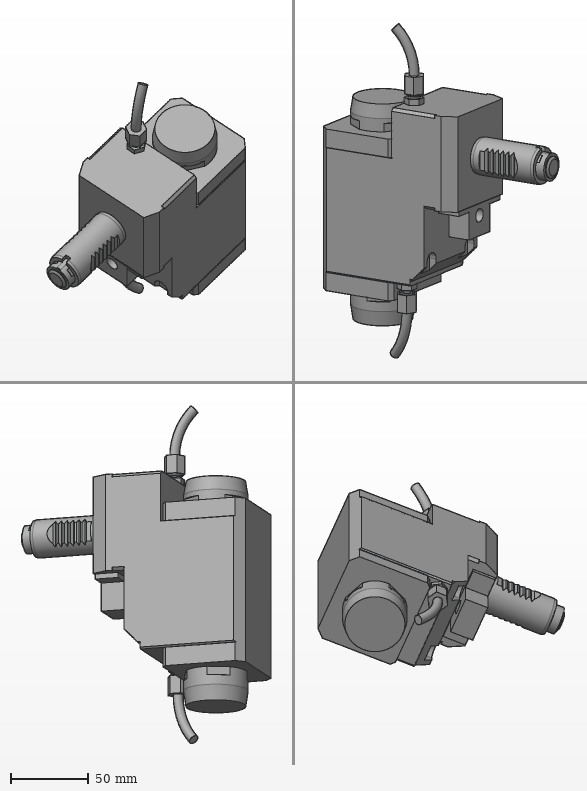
import cadquery as cq
import math


overall_depth = 160.0
overall_height = 223.1

body_width = 64.0
holder_depth = 22.8
plate_back_y = 33.7
step_y = 47.7
back_y = 103.8
top_z = body_width / 2
step_z = -1.5
plate_bottom_z = -82.5
housing_bottom_z = -85.5
holder_corner_x = 5.0
holder_corner_y = 10.0
edge_chamfer = 2.0
edge_chamfer_start_y = 14.7
bottom_chamfer = 1.1
rear_chamfer = 6.0
slope_run = plate_back_y - holder_depth
slope_start_z = plate_bottom_z + slope_run

pocket_diameter = 11.0
pocket_x = 23.0
pocket_axis_z = -68.7
pocket_bottom_z = -76.8
pocket_floor_y = holder_depth + slope_start_z - pocket_bottom_z

foot_front_y = 0.7
foot_back_y = 16.3
foot_width = 25.0
foot_bottom_z = -54.0
foot_flange_width = 2 * foot_width
foot_flange_thickness = 3.3
foot_hole_diameter = 9.0
foot_hole_z = -40.2

cap_width = 62.5
cap_thickness = 12.3
cap_gap = 0.5
cap_front_y = step_y + cap_gap
cap_front_chamfer = 2.7
cap_rear_chamfer = rear_chamfer - (body_width - cap_width) / 2
nut_axis_y = 74.7
nut_diameter = 42.0
nut_end_diameter = 38.8
top_nut_straight = 9.0
top_nut_height = 18.3
bottom_nut_straight = 12.0
bottom_nut_height = 22.0
nut_flat_count = 4
nut_flat_width = 15.0
nut_flat_height = 5.5
top_nut_turn = 55.5
bottom_nut_turn = 66.0

shank_diameter = 25.0
shank_end_diameter = 24.0
shank_length = 48.2
shank_front_chamfer = 2.0
shank_root_chamfer = 2.5
tip_diameter = 18.5
tip_end_y = -54.5
point_base_diameter = 14.7
point_shoulder = 0.7
point_diameter = 11.0
point_y = back_y - overall_depth
tooth_count = 6
tooth_pitch = 4.0
tooth_crest_x = 10.7
tooth_valley_x = 9.1
tooth_half_width = 1.45
teeth_start_y = -6.7
teeth_lead_in = 3.3
first_valley_y = teeth_start_y - teeth_lead_in - tooth_half_width
teeth_end_y = -36.4
key_slot_width = 3.8
key_slot_start_y = -44.0
key_slot_end_y = -53.5
key_slot_floor_z = 9.1
tip_flat_width = 5.5
tip_flat_length = 2.12
tip_flat_angles = (45, 135)

fitting_hex_flats = 11.2
fitting_hex_height = 4.0
neck_diameter = 8.3
collar_diameter = 9.8
neck_top = 5.4
collar_start = 6.0
fitting_nut_start = 7.1
fitting_nut_end = 19.2
fitting_nut_flats = 12.0
tube_diameter = 6.5
tube_bend_angle = 44.0
tube_heading = 109.0
fitting_reach = (overall_height - (top_z - housing_bottom_z)) / 2
top_fitting_x = -13.8
top_fitting_y = 42.0
bottom_fitting_x = -24.3
bottom_fitting_y = 40.8


def box(x_range, y_range, z_range):
    """Box between the given limits."""
    size = [high - low for low, high in (x_range, y_range, z_range)]
    corner = cq.Vector(x_range[0], y_range[0], z_range[0])
    return cq.Workplane(cq.Solid.makeBox(*size, corner))


def centered(width):
    """Limits of a width centred on zero."""
    return -width / 2, width / 2


def make_holder():
    """Square block with angled front corners and its rear side edges chamfered."""
    outline = [
        (body_width / 2 - holder_corner_x, 0),
        (body_width / 2, holder_corner_y),
        (body_width / 2, holder_depth),
        (-body_width / 2, holder_depth),
        (-body_width / 2, holder_corner_y),
        (holder_corner_x - body_width / 2, 0),
    ]
    prism = cq.Workplane("XY").workplane(offset=-body_width / 2).polyline(outline).close().extrude(body_width)
    rear = box(centered(body_width), (edge_chamfer_start_y, holder_depth), centered(body_width))
    front = box(centered(body_width), (0, edge_chamfer_start_y), centered(body_width))
    return prism.intersect(rear.edges("|Y").chamfer(edge_chamfer).union(front))


def make_plate():
    plate = box(centered(body_width), (holder_depth, plate_back_y), (plate_bottom_z, top_z))
    plate = plate.edges("|Y").chamfer(edge_chamfer)
    slope = (
        cq.Workplane("YZ")
        .polyline([
            (holder_depth, slope_start_z),
            (plate_back_y, plate_bottom_z),
            (holder_depth, plate_bottom_z),
        ])
        .close()
        .extrude(body_width / 2, both=True)
    )
    plate = plate.cut(slope)
    for x in (-pocket_x, pocket_x):
        plate = plate.cut(make_pocket(x))
    return plate


def make_pocket(x):
    """Round-topped pocket, open to the front and sunk to a flat floor."""
    depth = pocket_floor_y - holder_depth
    radius = pocket_diameter / 2
    round_top = cq.Solid.makeCylinder(
        radius, depth, cq.Vector(x, holder_depth, pocket_axis_z), cq.Vector(0, 1, 0)
    )
    lower = box(
        (x - radius, x + radius), (holder_depth, pocket_floor_y), (pocket_bottom_z, pocket_axis_z)
    )
    return lower.union(cq.Workplane(round_top))


def make_housing():
    front = box(centered(body_width), (plate_back_y, step_y), (housing_bottom_z, top_z))
    front = front.edges("|Y and >Z").chamfer(edge_chamfer)
    rear = box(centered(body_width), (step_y, back_y), (housing_bottom_z, step_z))
    rear = rear.edges("|Z and >Y").chamfer(rear_chamfer)
    housing = front.union(rear)
    for side in (-1, 1):
        edge_x = side * body_width / 2
        wedge = (
            cq.Workplane("XZ", origin=(0, plate_back_y, 0))
            .polyline([
                (edge_x, housing_bottom_z),
                (edge_x - side * bottom_chamfer, housing_bottom_z),
                (edge_x, housing_bottom_z + bottom_chamfer),
            ])
            .close()
            .extrude(plate_back_y - back_y)
        )
        housing = housing.cut(wedge)
    return housing


def make_foot():
    y_range = (foot_front_y, foot_back_y)
    holder_bottom_z = -body_width / 2
    flange_z = (holder_bottom_z - foot_flange_thickness, holder_bottom_z)
    flange = box(centered(foot_flange_width), y_range, flange_z)
    block = box(centered(foot_width), y_range, (foot_bottom_z, holder_bottom_z))
    hole = cq.Solid.makeCylinder(
        foot_hole_diameter / 2,
        foot_back_y - foot_front_y,
        cq.Vector(0, foot_front_y, foot_hole_z),
        cq.Vector(0, 1, 0),
    )
    return flange.union(block).cut(cq.Workplane(hole))


def make_cap(z_low):
    cap = box(centered(cap_width), (cap_front_y, back_y), (z_low, z_low + cap_thickness))
    cap = cap.edges("|Z and >Y").chamfer(cap_rear_chamfer)
    return cap.edges("|Z and <Y").chamfer(cap_front_chamfer)


def make_nut(straight, height, turn):
    """Tapered clamping nut standing on Z = 0, with wrench flats around its foot."""
    radius = nut_diameter / 2
    nut = (
        cq.Workplane("XZ")
        .polyline([
            (0, 0),
            (radius, 0),
            (radius, straight),
            (nut_end_diameter / 2, height),
            (0, height),
        ])
        .close()
        .revolve(360, (0, 0, 0), (0, 1, 0))
    )
    flat_distance = math.sqrt(radius**2 - (nut_flat_width / 2) ** 2)
    flat = box((flat_distance, nut_diameter), centered(nut_diameter), (0, nut_flat_height))
    for index in range(nut_flat_count):
        angle = turn + index * 360 / nut_flat_count
        nut = nut.cut(flat.rotate((0, 0, 0), (0, 0, 1), angle))
    return nut


def make_tooth_cutter():
    """Toothed recess on the +X side of the shank."""
    outer_x = shank_diameter
    outline = [(outer_x, teeth_start_y), (tooth_crest_x, teeth_start_y)]
    for index in range(tooth_count):
        valley_y = first_valley_y - index * tooth_pitch
        outline.append((tooth_crest_x, valley_y + tooth_half_width))
        outline.append((tooth_valley_x, valley_y))
        outline.append((tooth_crest_x, valley_y - tooth_half_width))
    outline.append((shank_diameter / 2, teeth_end_y))
    outline.append((outer_x, teeth_end_y))
    return cq.Workplane("XY").polyline(outline).close().extrude(shank_diameter, both=True)


def make_shank():
    radius = shank_diameter / 2
    end_radius = shank_end_diameter / 2
    profile = [
        (0, 0),
        (end_radius, 0),
        (radius, -shank_root_chamfer),
        (radius, shank_front_chamfer - shank_length),
        (end_radius, -shank_length),
        (tip_diameter / 2, -shank_length),
        (tip_diameter / 2, tip_end_y),
        (point_base_diameter / 2, tip_end_y),
        (point_base_diameter / 2, tip_end_y - point_shoulder),
        (point_diameter / 2, point_y),
        (0, point_y),
    ]
    shank = cq.Workplane("XY").polyline(profile).close().revolve(360, (0, 0, 0), (0, 1, 0))
    teeth = make_tooth_cutter()
    shank = shank.cut(teeth).cut(teeth.mirror("YZ"))
    key_slot = box(
        centered(key_slot_width), (key_slot_end_y, key_slot_start_y), (key_slot_floor_z, shank_diameter)
    )
    shank = shank.cut(key_slot)
    flat_distance = math.sqrt((tip_diameter / 2) ** 2 - (tip_flat_width / 2) ** 2)
    tip_flat = box(
        (flat_distance, radius), (-shank_length - tip_flat_length, -shank_length), centered(shank_diameter)
    )
    for angle in tip_flat_angles:
        shank = shank.cut(tip_flat.rotate((0, 0, 0), (0, 1, 0), -angle))
    return shank


def hexagon(across_flats, z_low, z_high, turn):
    """Hexagonal prism on the Z axis; a turn of 0 puts corners on the X axis."""
    across_corners = across_flats / math.cos(math.radians(30))
    prism = cq.Workplane("XY").workplane(offset=z_low).polygon(6, across_corners).extrude(z_high - z_low)
    return prism.rotate((0, 0, 0), (0, 0, 1), turn)


def make_tube():
    """Tube leaving the fitting nut in an arc towards the tube heading."""
    bend = math.radians(tube_bend_angle)
    tilted_rim = tube_diameter / 2 * math.sin(bend)
    bend_radius = (fitting_reach - tilted_rim - fitting_nut_end) / math.sin(bend)

    def arc_point(angle):
        return bend_radius * (1 - math.cos(angle)), fitting_nut_end + bend_radius * math.sin(angle)

    path = cq.Workplane("XZ").moveTo(*arc_point(0)).threePointArc(arc_point(bend / 2), arc_point(bend))
    tube = cq.Workplane("XY").workplane(offset=fitting_nut_end).circle(tube_diameter / 2).sweep(path)
    return tube.rotate((0, 0, 0), (0, 0, 1), tube_heading)


def make_fitting():
    """Coolant fitting standing on Z = 0."""
    neck = (
        cq.Workplane("XZ")
        .polyline([
            (0, 0),
            (neck_diameter / 2, 0),
            (neck_diameter / 2, neck_top),
            (collar_diameter / 2, collar_start),
            (collar_diameter / 2, fitting_nut_start),
            (0, fitting_nut_start),
        ])
        .close()
        .revolve(360, (0, 0, 0), (0, 1, 0))
    )
    base = hexagon(fitting_hex_flats, 0, fitting_hex_height, 0)
    nut = hexagon(fitting_nut_flats, fitting_nut_start, fitting_nut_end, 30)
    return neck.union(base).union(nut).union(make_tube())


def turned_over(shape):
    """The shape turned half a turn about the Y axis, so that it points down."""
    return shape.rotate((0, 0, 0), (0, 1, 0), 180)


top_nut_z = step_z + cap_thickness
bottom_cap_z = housing_bottom_z - cap_thickness
top_nut = make_nut(top_nut_straight, top_nut_height, top_nut_turn)
bottom_nut = make_nut(bottom_nut_straight, bottom_nut_height, bottom_nut_turn)
fitting = make_fitting()

parts = [
    make_plate(),
    make_housing(),
    make_foot(),
    make_shank(),
    make_cap(step_z),
    make_cap(bottom_cap_z),
    top_nut.translate((0, nut_axis_y, top_nut_z)),
    turned_over(bottom_nut).translate((0, nut_axis_y, bottom_cap_z)),
    fitting.translate((top_fitting_x, top_fitting_y, top_z)),
    turned_over(fitting).translate((bottom_fitting_x, bottom_fitting_y, housing_bottom_z)),
]

result = make_holder()
for part in parts:
    result = result.union(part)